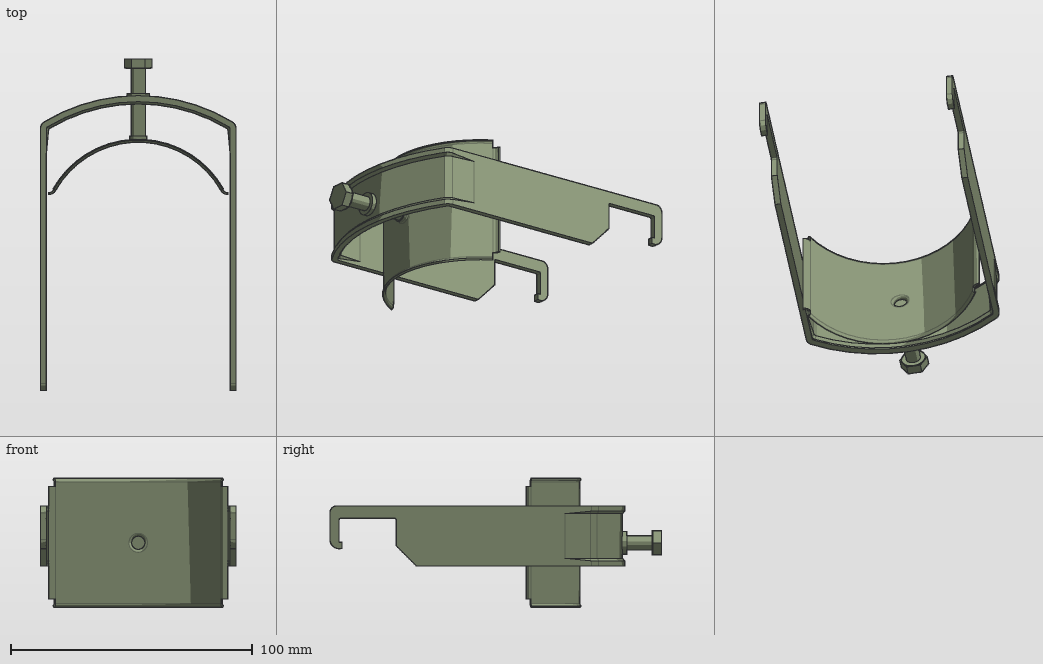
import cadquery as cq
import math


STRAP_WIDTH = 81.0
STRAP_LENGTH = 122.0
STRAP_THICKNESS = 2.5
STRAP_TOP = 15.3
STRAP_BOTTOM = -9.7
STRAP_HEIGHT = STRAP_TOP - STRAP_BOTTOM
STRAP_MID_Z = (STRAP_TOP + STRAP_BOTTOM) / 2
CROWN_RADIUS = 75.0
CORNER_RADIUS_OUTER = 3.5
CORNER_RADIUS_INNER = 1.2

GROOVE_FLOOR_HEIGHT = 18.4
RIDGE_CREST_HEIGHT = 20.8
BAND_DEPTH = 1.0
BAND_END_Y = -24.7
BAND_FLANK_ANGLE = 39.0

HOOK_BAR = 5.2
HOOK_CORNER_RADIUS = 3.0
HOOK_TIP_RADIUS = 3.9
HOOK_TIP_Z = 1.4
NOSE_REACH = 5.1
NOSE_TOP_Z = 0.3
NOTCH_LENGTH = 23.5
NOTCH_CORNER_RADIUS = 0.6
LEG_CHAMFER = 8.5

COLLAR_DIAMETER = 9.5
COLLAR_TOP_Y = 0.8

SCREW_DIAMETER = 6.0
HEAD_TOP_Y = 15.21
HEAD_HEIGHT = 4.0
HEAD_FLATS = 10.0
WASHER_FACE_DIAMETER = 10.0
WASHER_FACE_HEIGHT = 0.3

SADDLE_HEIGHT = 53.46
SADDLE_THICKNESS = 0.8
SADDLE_RADIUS = 40.0
SADDLE_TOP_Y = -18.5
SADDLE_CENTRE_Y = SADDLE_TOP_Y - SADDLE_RADIUS
SADDLE_HALF_ANGLE = 60.5
LIP_RADIUS = 1.8
LIP_ANGLE = 60.0
TONGUE_HEIGHT = 46.6
TONGUE_HALF_WIDTH = 37.0

BOSS_HOLE_DIAMETER = 5.45
BOSS_DIAMETER = BOSS_HOLE_DIAMETER + 2 * SADDLE_THICKNESS
BOSS_TOP_Y = -16.8
BOSS_HOLE_FILLET = 1.2
BOSS_ROOT_FILLET = 0.6
SCREW_TIP_RECESS = 1.5

SELECT_MARGIN = 0.1


def cylinder_along_y(diameter, y_start, y_end):
    return cq.Workplane("XZ", origin=(0, y_start, 0)).circle(diameter / 2).extrude(y_start - y_end)


def arch(depth, base_y, height, corner_radius, inset=0.0):
    """Solid under the crown, `depth` below the strap's outer face.

    The inset moves the crown and the corners inwards but leaves the base in place.
    """
    base_x = STRAP_WIDTH / 2 - depth
    corner_x = base_x - inset
    crown_y = -depth - inset
    radius = CROWN_RADIUS + crown_y
    corner_y = crown_y - radius + math.sqrt(radius**2 - corner_x**2)
    corners = cq.selectors.BoxSelector(
        (-STRAP_WIDTH, corner_y - SELECT_MARGIN, -STRAP_HEIGHT),
        (STRAP_WIDTH, corner_y + SELECT_MARGIN, STRAP_HEIGHT),
    )
    return (
        cq.Workplane("XY", origin=(0, 0, STRAP_MID_Z - height / 2))
        .moveTo(-base_x, base_y)
        .lineTo(-corner_x, corner_y)
        .threePointArc((0, crown_y), (corner_x, corner_y))
        .lineTo(base_x, base_y)
        .close()
        .extrude(height)
        .edges("|Z")
        .edges(corners)
        .fillet(corner_radius)
    )


def band_layer(depth, pressed_height, corner_radius):
    """Layer between a strap face and the same face pressed inwards over `pressed_height`.

    Both long edges slope, so the layer narrows to `pressed_height` where its depth fades out.
    """
    flank_height = BAND_DEPTH / math.tan(math.radians(BAND_FLANK_ANGLE))
    full_height = pressed_height + 2 * flank_height
    unpressed = arch(depth, BAND_END_Y, full_height, corner_radius)
    pressed = arch(depth, BAND_END_Y, pressed_height, corner_radius, BAND_DEPTH)
    upper_flank = (
        pressed.faces(">Z")
        .wires()
        .toPending()
        .workplane()
        .extrude(flank_height, combine=False, taper=-BAND_FLANK_ANGLE)
    )
    lower_flank = upper_flank.mirror("XY", (0, 0, STRAP_MID_Z))
    return unpressed.cut(pressed).cut(upper_flank).cut(lower_flank)


def leg_outline():
    """Side outline of the strap, with the notch and the hook at its free end."""
    end_y = -STRAP_LENGTH
    notch_top = STRAP_TOP - HOOK_BAR
    hook_inner_y = end_y + HOOK_TIP_RADIUS
    nose_y = end_y + NOSE_REACH
    notch_y = hook_inner_y + NOTCH_LENGTH
    nose_drop = math.sqrt(HOOK_TIP_RADIUS**2 - (nose_y - hook_inner_y) ** 2)
    diagonal = HOOK_TIP_RADIUS * math.sqrt(0.5)
    outline = (
        cq.Workplane("YZ", origin=(-STRAP_WIDTH / 2, 0, 0))
        .moveTo(0, STRAP_TOP)
        .lineTo(end_y + HOOK_CORNER_RADIUS, STRAP_TOP)
        .radiusArc((end_y, STRAP_TOP - HOOK_CORNER_RADIUS), -HOOK_CORNER_RADIUS)
        .lineTo(end_y, HOOK_TIP_Z)
        .threePointArc((hook_inner_y - diagonal, HOOK_TIP_Z - diagonal), (nose_y, HOOK_TIP_Z - nose_drop))
        .lineTo(nose_y, NOSE_TOP_Z)
        .lineTo(hook_inner_y, NOSE_TOP_Z)
        .lineTo(hook_inner_y, notch_top)
        .lineTo(notch_y, notch_top)
        .lineTo(notch_y, STRAP_BOTTOM + LEG_CHAMFER)
        .lineTo(notch_y + LEG_CHAMFER, STRAP_BOTTOM)
        .lineTo(0, STRAP_BOTTOM)
        .close()
        .extrude(STRAP_WIDTH)
    )
    notch_corners = cq.selectors.BoxSelector(
        (-STRAP_WIDTH, hook_inner_y - SELECT_MARGIN, notch_top - SELECT_MARGIN),
        (STRAP_WIDTH, notch_y + SELECT_MARGIN, notch_top + SELECT_MARGIN),
    )
    return outline.edges("|X").edges(notch_corners).fillet(NOTCH_CORNER_RADIUS)


def make_strap():
    outer = arch(0, -STRAP_LENGTH, STRAP_HEIGHT, CORNER_RADIUS_OUTER)
    inner = arch(STRAP_THICKNESS, -STRAP_LENGTH, STRAP_HEIGHT, CORNER_RADIUS_INNER)
    strap = outer.cut(inner).intersect(leg_outline())

    groove = band_layer(0, GROOVE_FLOOR_HEIGHT, CORNER_RADIUS_OUTER)
    ridge = band_layer(STRAP_THICKNESS, RIDGE_CREST_HEIGHT, CORNER_RADIUS_INNER)
    collar = cylinder_along_y(COLLAR_DIAMETER, -STRAP_THICKNESS, COLLAR_TOP_Y)
    hole = cylinder_along_y(SCREW_DIAMETER, -STRAP_LENGTH, COLLAR_TOP_Y)
    return strap.cut(groove).union(ridge).union(collar).cut(hole)


def make_screw():
    head_bottom_y = HEAD_TOP_Y - HEAD_HEIGHT
    hex_bottom_y = head_bottom_y + WASHER_FACE_HEIGHT
    corners = HEAD_FLATS / math.cos(math.pi / 6)
    hex_height = HEAD_TOP_Y - hex_bottom_y
    head = cq.Workplane("XZ", origin=(0, HEAD_TOP_Y, 0)).polygon(6, corners).extrude(hex_height)
    washer_face = cylinder_along_y(WASHER_FACE_DIAMETER, head_bottom_y, hex_bottom_y)
    shank = cylinder_along_y(SCREW_DIAMETER, BOSS_TOP_Y, hex_bottom_y)
    tip_y = SADDLE_TOP_Y - SADDLE_THICKNESS + SCREW_TIP_RECESS
    tip = cylinder_along_y(BOSS_HOLE_DIAMETER, tip_y, BOSS_TOP_Y)
    return head.union(washer_face).union(shank).union(tip)


def saddle_wall():
    """Curved sheet, both edges bent outwards into a lip."""
    sine = math.sin(math.radians(LIP_ANGLE))
    cosine = math.cos(math.radians(LIP_ANGLE))
    outer_y = SADDLE_TOP_Y
    inner_y = SADDLE_TOP_Y - SADDLE_THICKNESS
    tight_radius = LIP_RADIUS - SADDLE_THICKNESS
    bend_y = inner_y + LIP_RADIUS
    bend_z = SADDLE_HEIGHT / 2 - LIP_RADIUS * sine
    inner_tip_y = bend_y - LIP_RADIUS * cosine
    inner_tip_z = bend_z + LIP_RADIUS * sine
    outer_tip_y = bend_y - tight_radius * cosine
    outer_tip_z = bend_z + tight_radius * sine
    return (
        cq.Workplane("YZ")
        .moveTo(outer_y, -bend_z)
        .lineTo(outer_y, bend_z)
        .radiusArc((outer_tip_y, outer_tip_z), tight_radius)
        .lineTo(inner_tip_y, inner_tip_z)
        .radiusArc((inner_y, bend_z), -LIP_RADIUS)
        .lineTo(inner_y, -bend_z)
        .radiusArc((inner_tip_y, -inner_tip_z), -LIP_RADIUS)
        .lineTo(outer_tip_y, -outer_tip_z)
        .radiusArc((outer_y, -bend_z), tight_radius)
        .close()
        .revolve(2 * SADDLE_HALF_ANGLE, (SADDLE_CENTRE_Y, 0), (SADDLE_CENTRE_Y, 1))
        .rotate((0, SADDLE_CENTRE_Y, 0), (0, SADDLE_CENTRE_Y, 1), -SADDLE_HALF_ANGLE)
    )


def saddle_tongue():
    """Tongue at the +X end of the saddle, bent outwards until it points along X."""
    sine = math.sin(math.radians(SADDLE_HALF_ANGLE))
    cosine = math.cos(math.radians(SADDLE_HALF_ANGLE))
    inner_radius = SADDLE_RADIUS - SADDLE_THICKNESS
    inner_start = (inner_radius * sine, SADDLE_CENTRE_Y + inner_radius * cosine)
    outer_start = (SADDLE_RADIUS * sine, SADDLE_CENTRE_Y + SADDLE_RADIUS * cosine)
    bend_radius = (TONGUE_HALF_WIDTH - inner_start[0]) / sine
    inner_y = inner_start[1] - bend_radius * (1 - cosine)
    outer_y = inner_y + SADDLE_THICKNESS
    return (
        cq.Workplane("XY", origin=(0, 0, -TONGUE_HEIGHT / 2))
        .moveTo(*inner_start)
        .radiusArc((TONGUE_HALF_WIDTH, inner_y), -bend_radius)
        .lineTo(TONGUE_HALF_WIDTH, outer_y)
        .radiusArc(outer_start, bend_radius - SADDLE_THICKNESS)
        .close()
        .extrude(TONGUE_HEIGHT)
    )


def boss_region(face_y):
    """Selects the edges close to the boss that lie on the saddle face whose crown is at `face_y`."""
    reach = BOSS_DIAMETER / 2
    margin = SADDLE_THICKNESS / 2
    return cq.selectors.BoxSelector((-reach, face_y - margin, -reach), (reach, face_y + margin, reach))


def make_saddle():
    tongue = saddle_tongue()
    boss = cylinder_along_y(BOSS_DIAMETER, SADDLE_TOP_Y - SADDLE_THICKNESS / 2, BOSS_TOP_Y)
    hole = cylinder_along_y(BOSS_HOLE_DIAMETER, SADDLE_CENTRE_Y, BOSS_TOP_Y)
    saddle = saddle_wall().union(tongue).union(tongue.mirror("YZ")).union(boss)
    saddle = saddle.edges(boss_region(SADDLE_TOP_Y)).fillet(BOSS_ROOT_FILLET)
    hole_mouth = boss_region(SADDLE_TOP_Y - SADDLE_THICKNESS)
    saddle = saddle.cut(hole)
    return saddle.edges(hole_mouth).fillet(BOSS_HOLE_FILLET)


strap = make_strap()
pressure_saddle = make_saddle().union(make_screw())

result = cq.Compound.makeCompound([strap.solids().val(), pressure_saddle.solids().val()])